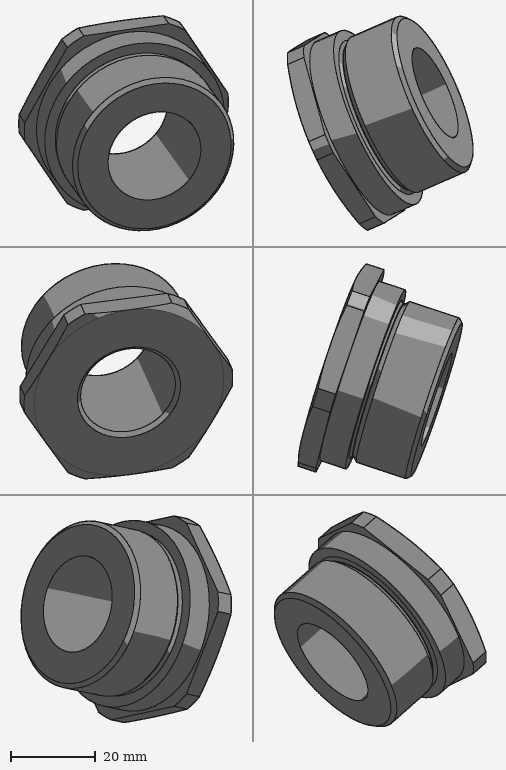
import cadquery as cq
import math


hex_sides = 6
across_flats = 46.0
corner_diameter = 50.6
head_thickness = 5.0
head_chamfer_angle = 15.0
head_chamfer_depth = (corner_diameter - across_flats) / 2 * math.tan(math.radians(head_chamfer_angle))

overall_length = 26.6
collar_diameter = 44.6
collar_length = 6.4
thread_diameter = 40.0
thread_chamfer = 1.0

undercut_diameter = 37.7
undercut_floor_width = 0.15
undercut_collar_side_width = 0.6
undercut_collar_side_diameter = 39.4

bore_diameter = 23.0
bore_chamfer = 1.0


def turned(profile):
    """Revolve an (x, radius) profile, closed along the axis, about X."""
    return cq.Workplane("XZ").polyline(profile).close().revolve(360, (0, 0, 0), (1, 0, 0))


def make_head():
    """Hexagon with corners at +Y and -Y, turned down and chamfered on its outer face."""
    circumscribed_diameter = across_flats / math.cos(math.pi / hex_sides)
    hexagon = cq.Workplane("YZ").polygon(hex_sides, circumscribed_diameter).extrude(head_thickness)
    envelope = turned([
        (0, 0),
        (0, across_flats / 2),
        (head_chamfer_depth, corner_diameter / 2),
        (head_thickness, corner_diameter / 2),
        (head_thickness, 0),
    ])
    return hexagon.intersect(envelope)


def make_shank():
    """Collar, undercut and plain thread cylinder with a chamfered end."""
    collar_end = head_thickness + collar_length
    floor_start = collar_end + undercut_collar_side_width
    floor_end = floor_start + undercut_floor_width
    thread_radius = thread_diameter / 2
    undercut_radius = undercut_diameter / 2
    thread_start = floor_end + thread_radius - undercut_radius
    return turned([
        (head_thickness, 0),
        (head_thickness, collar_diameter / 2),
        (collar_end, collar_diameter / 2),
        (collar_end, undercut_collar_side_diameter / 2),
        (floor_start, undercut_radius),
        (floor_end, undercut_radius),
        (thread_start, thread_radius),
        (overall_length - thread_chamfer, thread_radius),
        (overall_length, thread_radius - thread_chamfer),
        (overall_length, 0),
    ])


def make_bore():
    """Through bore with a 45 degree chamfer at the head face."""
    bore_radius = bore_diameter / 2
    return turned([
        (0, 0),
        (0, bore_radius + bore_chamfer),
        (bore_chamfer, bore_radius),
        (overall_length, bore_radius),
        (overall_length, 0),
    ])


result = make_head().union(make_shank()).cut(make_bore())